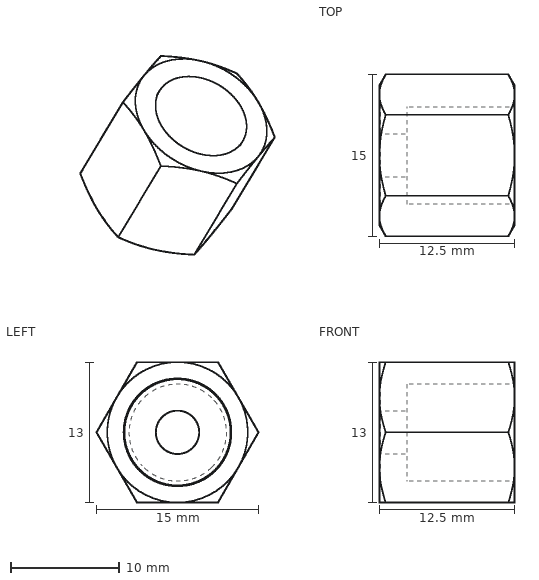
import cadquery as cq
import math

across_corners = 15.01
length = 12.5
across_flats = across_corners * math.cos(math.radians(30))

chamfer_angle = 30.0
chamfer_depth = (across_corners - across_flats) / 2 * math.tan(math.radians(chamfer_angle))

bore_diameter = 4.0
end_wall_thickness = 2.5
cavity_diameter = 9.0

groove_outer_diameter = 10.0
groove_inner_diameter = 9.82
groove_depth = 0.09


def hexagonal_bar():
    return cq.Workplane("YZ").polygon(6, across_corners).extrude(length)


def chamfer_envelope():
    """Round blank with coned ends; trims the corners of the hexagon."""
    face_radius = across_flats / 2
    corner_radius = across_corners / 2
    profile = [
        (0, 0),
        (0, face_radius),
        (chamfer_depth, corner_radius),
        (length - chamfer_depth, corner_radius),
        (length, face_radius),
        (length, 0),
    ]
    return cq.Workplane("XY").polyline(profile).close().revolve(360, (0, 0, 0), (1, 0, 0))


def bore():
    return cq.Workplane("YZ").circle(bore_diameter / 2).extrude(length)


def cavity():
    return (
        cq.Workplane("YZ", origin=(end_wall_thickness, 0, 0))
        .circle(cavity_diameter / 2)
        .extrude(length - end_wall_thickness)
    )


def ring_groove():
    return (
        cq.Workplane("YZ")
        .circle(groove_outer_diameter / 2)
        .circle(groove_inner_diameter / 2)
        .extrude(groove_depth)
    )


body = hexagonal_bar().intersect(chamfer_envelope())
result = body.cut(bore()).cut(cavity()).cut(ring_groove())